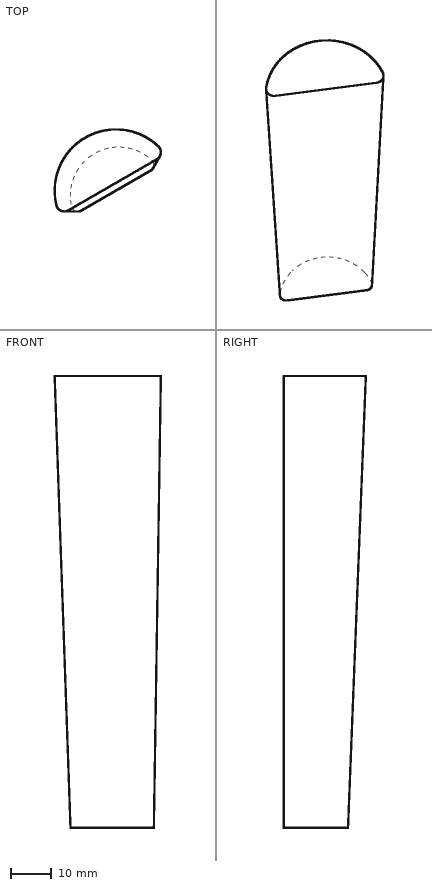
import cadquery as cq
import math

LENGTH = 112.1
TURN = 30.0

BACK_RADIUS = 15.2
AXIS_TO_FLAT = 1.7
CORNER_RADIUS = 2.0

BOTTOM_SCALE = 0.785
FLAT_SHIFT = 1.7


def section_wire(scale, flat_y, z):
    """Closed D outline: a flat along X, two rounded corners and a round back."""
    radius = BACK_RADIUS * scale
    axis_y = flat_y - AXIS_TO_FLAT * scale
    corner = CORNER_RADIUS * scale
    corner_y = flat_y + corner

    rise = corner_y - axis_y
    reach = radius - corner
    half_flat = math.sqrt(reach**2 - rise**2)
    contact_x = half_flat * radius / reach
    contact_y = axis_y + rise * radius / reach

    middle = (math.atan2(rise, half_flat) - math.pi / 2) / 2
    middle_x = half_flat + corner * math.cos(middle)
    middle_y = corner_y + corner * math.sin(middle)

    outline = (
        cq.Workplane("XY", origin=(0, 0, z))
        .moveTo(-half_flat, flat_y)
        .lineTo(half_flat, flat_y)
        .threePointArc((middle_x, middle_y), (contact_x, contact_y))
        .threePointArc((0, axis_y + radius), (-contact_x, contact_y))
        .threePointArc((-middle_x, middle_y), (-half_flat, flat_y))
        .close()
    )
    return outline.val()


bottom = section_wire(BOTTOM_SCALE, -FLAT_SHIFT, 0)
top = section_wire(1.0, 0, LENGTH)
bar = cq.Solid.makeLoft([bottom, top], True)

result = cq.Workplane(bar).rotate((0, 0, 0), (0, 0, 1), TURN)